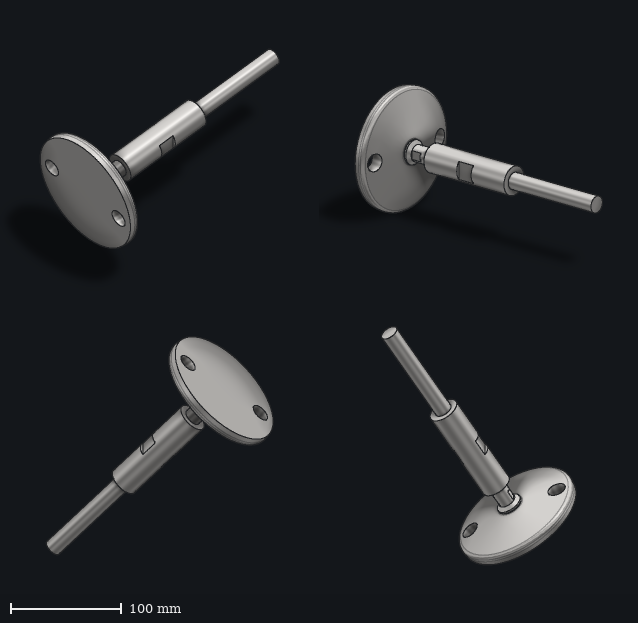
import cadquery as cq
import math


base_dia = 118.0
underside_dia = 116.5
rim_taper_height = 4.7
base_height = 17.8
base_top_dia = 25.1
cone_angle = 9.6
rim_fillet = 3.5
hole_dia = 16.5
hole_offset = 43.0

total_height = 237.0
rod_dia = 16.0
collar_dia = 23.7
collar_foot_dia = 22.0
collar_bottom = 19.0
collar_top = 20.6
collar_cone_top = 23.7
rod_flat_end = 34.1
rod_flat_width = 13.7
sleeve_dia = 28.0
sleeve_bottom = 43.8
sleeve_length = 95.0
sleeve_flat_width = 22.0
sleeve_flat_length = 17.0


def revolve_about_y(points):
    return cq.Workplane("XY").polyline(points).close().revolve(360, (0, 0, 0), (0, 1, 0))


def cut_flats(body, width, bottom, length):
    """Cut two parallel wrench flats, facing -X and +X, into a round body."""
    depth = sleeve_dia
    for side in (-1, 1):
        block = cq.Workplane("XY").box(depth, length, depth).translate(
            (side * (width + depth) / 2, bottom + length / 2, 0)
        )
        body = body.cut(block)
    return body


def make_base():
    slope = math.tan(math.radians(cone_angle))
    rim_top = base_height - (base_dia - base_top_dia) / 2 * slope
    base = revolve_about_y([
        (0, 0),
        (underside_dia / 2, 0),
        (base_dia / 2, rim_taper_height),
        (base_dia / 2, rim_top),
        (base_top_dia / 2, base_height),
        (0, base_height),
    ])
    base = base.edges("%CIRCLE").edges(">>Y[-2]").fillet(rim_fillet)

    lean = math.radians(cone_angle)
    for side in (-1, 1):
        axis = cq.Vector(side * math.sin(lean), math.cos(lean), 0)
        start = cq.Vector(side * hole_offset, 0, 0) - axis * base_height
        hole_length = 3 * base_height
        hole = cq.Solid.makeCylinder(hole_dia / 2, hole_length, start, axis)
        base = base.cut(cq.Workplane(hole))
    return base


def make_spindle():
    sleeve_top = sleeve_bottom + sleeve_length
    spindle = revolve_about_y([
        (0, base_height),
        (collar_foot_dia / 2, base_height),
        (collar_dia / 2, collar_bottom),
        (collar_dia / 2, collar_top),
        (rod_dia / 2, collar_cone_top),
        (rod_dia / 2, sleeve_bottom),
        (sleeve_dia / 2, sleeve_bottom),
        (sleeve_dia / 2, sleeve_top),
        (rod_dia / 2, sleeve_top),
        (rod_dia / 2, total_height),
        (0, total_height),
    ])
    spindle = cut_flats(spindle, rod_flat_width, collar_cone_top, rod_flat_end - collar_cone_top)
    sleeve_flat_bottom = sleeve_bottom + (sleeve_length - sleeve_flat_length) / 2
    return cut_flats(spindle, sleeve_flat_width, sleeve_flat_bottom, sleeve_flat_length)


base = make_base()
spindle = make_spindle()
result = cq.Compound.makeCompound([*base.solids().vals(), *spindle.solids().vals()])